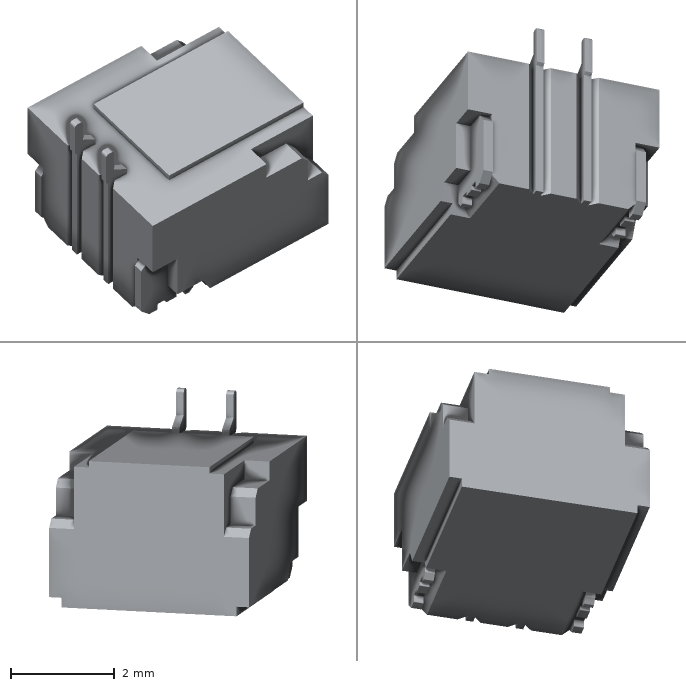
import cadquery as cq


HOUSING_WIDTH = 4.0
HOUSING_LENGTH = 4.26
HOUSING_HEIGHT = 2.78
HALF_WIDTH = HOUSING_WIDTH / 2
SIDE_CUT_WIDTH = 0.5
INNER_SIDE = HALF_WIDTH - SIDE_CUT_WIDTH

FOOT_INSET = 0.25
FOOT_HEIGHT = 0.19

UPPER_STEP_LENGTH = 1.5
UPPER_STEP_DEPTH = 0.37
LOWER_STEP_LENGTH = 0.49
LOWER_STEP_FLOOR = 1.705
STEP_CHAMFER = 0.155

POCKET_HEIGHT = 1.5
POCKET_UPPER_DEPTH = 0.6
POCKET_LOWER_HEIGHT = 0.515
POCKET_LOWER_DEPTH = 1.215
POCKET_FLOOR_DEPTH = 1.49
POCKET_BEVEL = 0.155

TAB_THICKNESS = 0.2
TAB_CHAMFER = 0.195
TAB_REAR_CHAMFER = 0.105
NOTCH_DEPTH = 0.155
NOTCH_ROUND = 0.017
TOOTH_CLEARANCE = 0.07
FRONT_NOTCH_START = 0.35
FRONT_NOTCH_END = 0.55
REAR_NOTCH_START = 0.805
REAR_NOTCH_END = 1.01

PIN_PITCH = 1.0
PIN_THICKNESS = 0.15
PIN_TOP = 3.6
PIN_BACK = 0.453
HEEL_HEIGHT = 0.125
HEEL_SLOPE_TOP = 3.09
TAIL_THICKNESS = 0.2
TAIL_ROUND = 0.07
GROOVE_DEPTH = 0.155

FRONT_OVERHANG = 0.05
PIN_POSITIONS = (-PIN_PITCH / 2, PIN_PITCH / 2)

PLATE_WIDTH = 2.415
PLATE_LENGTH = 3.26
PLATE_THICKNESS = 0.125


def extrude_along_x(outline, x_start, x_end):
    """Extrude an outline of (y, z) points from x_start to x_end."""
    return cq.Workplane("YZ", origin=(x_start, 0, 0)).polyline(outline).close().extrude(x_end - x_start)


def mirror_to_right(left_shape):
    return left_shape.mirror("YZ")


def make_foot_cut():
    """Strip removed along the lower left edge."""
    return cq.Workplane("XY").box(FOOT_INSET, HOUSING_LENGTH, FOOT_HEIGHT, centered=False).translate(
        (-HALF_WIDTH, 0, 0)
    )


def make_step_cut():
    """Two-level step in the upper left rear corner, with a chamfer on each level's outer edge."""
    rear = HOUSING_LENGTH
    upper_floor = HOUSING_HEIGHT - UPPER_STEP_DEPTH
    lower_wall = rear - LOWER_STEP_LENGTH
    outline = [
        (rear, HOUSING_HEIGHT),
        (rear - UPPER_STEP_LENGTH, HOUSING_HEIGHT),
        (rear - UPPER_STEP_LENGTH, upper_floor),
        (lower_wall - STEP_CHAMFER, upper_floor),
        (lower_wall, upper_floor - STEP_CHAMFER),
        (lower_wall, LOWER_STEP_FLOOR),
        (rear - STEP_CHAMFER, LOWER_STEP_FLOOR),
        (rear, LOWER_STEP_FLOOR - STEP_CHAMFER),
    ]
    return extrude_along_x(outline, -HALF_WIDTH, -INNER_SIDE)


def make_tab_pocket():
    """Pocket in the lower left front corner; its inner wall flares inward at the underside."""
    outline = [
        (0, 0),
        (0, POCKET_HEIGHT),
        (POCKET_UPPER_DEPTH, POCKET_HEIGHT),
        (POCKET_UPPER_DEPTH, POCKET_LOWER_HEIGHT),
        (POCKET_LOWER_DEPTH, POCKET_LOWER_HEIGHT),
        (POCKET_FLOOR_DEPTH, 0),
    ]
    flared = extrude_along_x(outline, -HALF_WIDTH, -INNER_SIDE + POCKET_BEVEL)
    section = (
        cq.Workplane("XZ")
        .polyline([
            (-HALF_WIDTH, 0),
            (-HALF_WIDTH, POCKET_HEIGHT),
            (-INNER_SIDE, POCKET_HEIGHT),
            (-INNER_SIDE, POCKET_BEVEL),
            (-INNER_SIDE + POCKET_BEVEL, 0),
        ])
        .close()
        .extrude(-POCKET_FLOOR_DEPTH)
    )
    return flared.intersect(section)


def make_pin_groove(x):
    """Full-height front groove with a flat floor as wide as the pin and 45 degree sides."""
    floor_half = PIN_THICKNESS / 2
    mouth_half = floor_half + GROOVE_DEPTH
    return (
        cq.Workplane("XY")
        .polyline([
            (x - mouth_half, 0),
            (x + mouth_half, 0),
            (x + floor_half, GROOVE_DEPTH),
            (x - floor_half, GROOVE_DEPTH),
        ])
        .close()
        .extrude(HOUSING_HEIGHT)
    )


def make_housing():
    housing = (
        cq.Workplane("XY")
        .box(HOUSING_WIDTH, HOUSING_LENGTH, HOUSING_HEIGHT, centered=(True, False, False))
    )
    for left_cut in (make_foot_cut(), make_step_cut(), make_tab_pocket()):
        housing = housing.cut(left_cut).cut(mirror_to_right(left_cut))
    for x in PIN_POSITIONS:
        housing = housing.cut(make_pin_groove(x))
    return housing


def make_left_tab():
    """Flat solder tab against the inner wall of the pocket, with two rounded notches in its lower edge."""
    front = -FRONT_OVERHANG
    outline = [
        (front + TAB_CHAMFER, 0),
        (front, TAB_CHAMFER),
        (front, POCKET_HEIGHT - TAB_CHAMFER),
        (front + TAB_CHAMFER, POCKET_HEIGHT),
        (POCKET_UPPER_DEPTH, POCKET_HEIGHT),
        (POCKET_UPPER_DEPTH, POCKET_LOWER_HEIGHT),
        (POCKET_LOWER_DEPTH, POCKET_LOWER_HEIGHT),
        (POCKET_LOWER_DEPTH, TAB_REAR_CHAMFER),
        (POCKET_LOWER_DEPTH - TAB_REAR_CHAMFER, 0),
        (REAR_NOTCH_END, 0),
        (REAR_NOTCH_END, NOTCH_DEPTH),
        (REAR_NOTCH_START, NOTCH_DEPTH),
        (REAR_NOTCH_START, TOOTH_CLEARANCE),
        (FRONT_NOTCH_END, TOOTH_CLEARANCE),
        (FRONT_NOTCH_END, NOTCH_DEPTH),
        (FRONT_NOTCH_START, NOTCH_DEPTH),
        (FRONT_NOTCH_START, 0),
    ]
    tab = extrude_along_x(outline, -INNER_SIDE - TAB_THICKNESS, -INNER_SIDE)
    notch_region = cq.selectors.BoxSelector(
        (-HALF_WIDTH, FRONT_NOTCH_START - NOTCH_ROUND, -NOTCH_ROUND),
        (0, REAR_NOTCH_END + NOTCH_ROUND, NOTCH_DEPTH + NOTCH_ROUND),
    )
    return tab.edges("|X").edges(notch_region).fillet(NOTCH_ROUND)


def make_pin(x):
    """Flat pin: blade in the front groove, heel on the housing top and an upright tail."""
    front = -FRONT_OVERHANG
    tail_back = front + TAIL_THICKNESS
    outline = [
        (0, 0),
        (0, HOUSING_HEIGHT),
        (front, HOUSING_HEIGHT + FRONT_OVERHANG),
        (front, PIN_TOP),
        (tail_back, PIN_TOP),
        (tail_back, HEEL_SLOPE_TOP),
        (PIN_BACK, HOUSING_HEIGHT + HEEL_HEIGHT),
        (PIN_BACK, HOUSING_HEIGHT),
        (GROOVE_DEPTH, HOUSING_HEIGHT),
        (GROOVE_DEPTH, 0),
    ]
    pin = extrude_along_x(outline, x - PIN_THICKNESS / 2, x + PIN_THICKNESS / 2)
    return pin.faces(">Z").edges("|X").fillet(TAIL_ROUND)


def make_plate():
    return (
        cq.Workplane("XY", origin=(0, HOUSING_LENGTH - PLATE_LENGTH, HOUSING_HEIGHT))
        .box(PLATE_WIDTH, PLATE_LENGTH, PLATE_THICKNESS, centered=(True, False, False))
    )


housing = make_housing()
plate = make_plate()
left_tab = make_left_tab()
tabs = [left_tab, mirror_to_right(left_tab)]
pins = [make_pin(x) for x in PIN_POSITIONS]

result = cq.Compound.makeCompound([
    housing.val(),
    plate.val(),
    *[tab.val() for tab in tabs],
    *[pin.val() for pin in pins],
])